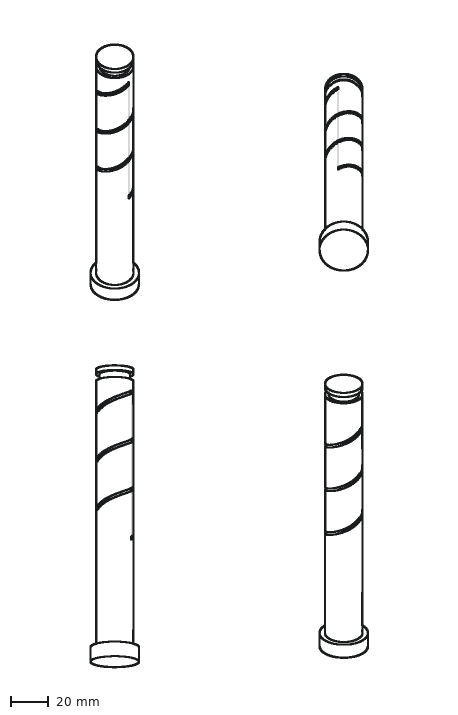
import cadquery as cq

total_length = 160.0
head_diameter = 26.0
head_height = 8.0
shaft_diameter = 20.0

end_collar_height = 2.5
ring_groove_width = 3.8
ring_groove_diameter = 16.3

helix_turns = 3
helix_height = 80.0
helix_start_z = 66.7
helix_groove_radius = 0.8

shaft_radius = shaft_diameter / 2


def make_headed_shaft():
    head = cq.Workplane("XY").circle(head_diameter / 2).extrude(head_height)
    shaft = cq.Workplane("XY").circle(shaft_radius).extrude(total_length)
    return head.union(shaft)


def make_ring_groove():
    groove_bottom_z = total_length - end_collar_height - ring_groove_width
    return (
        cq.Workplane("XY", origin=(0, 0, groove_bottom_z))
        .circle(head_diameter / 2)
        .circle(ring_groove_diameter / 2)
        .extrude(ring_groove_width)
    )


def make_helical_groove():
    pitch = helix_height / helix_turns
    path = cq.Wire.makeHelix(pitch, helix_height, shaft_radius)
    groove = (
        cq.Workplane("XZ", origin=(shaft_radius, 0, 0))
        .circle(helix_groove_radius)
        .sweep(cq.Workplane(path), isFrenet=True)
    )
    return groove.translate((0, 0, helix_start_z))


result = make_headed_shaft().cut(make_ring_groove()).cut(make_helical_groove())